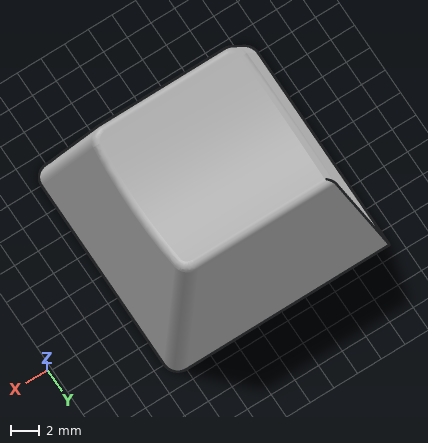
import cadquery as cq
import math

base_side = 18.3
wall_lean = 14.0
blank_height = 12.81
dish_floor = 10.4
dish_radius = 20.5
corner_radius = 1.2
rim_radius = 0.6


def tapered_blank():
    """Truncated square pyramid standing on the XY plane."""
    return cq.Workplane("XY").rect(base_side, base_side).extrude(blank_height, taper=wall_lean)


def round_corners(body):
    """Round the slanted corner edges, leaving the one at -X, +Y sharp."""
    inset = blank_height / 2 * math.tan(math.radians(wall_lean))
    reach = base_side / 2 - inset
    rounded_corners = [(-1, -1), (1, -1), (1, 1)]
    for x_side, y_side in rounded_corners:
        corner = (x_side * reach, y_side * reach, blank_height / 2)
        nearest_edge = cq.selectors.NearestToPointSelector(corner)
        body = body.edges(nearest_edge).fillet(corner_radius)
    return body


def dish_cutter():
    """Cylinder along X whose lower side forms the concave top."""
    return (
        cq.Workplane("YZ")
        .center(0, dish_floor + dish_radius)
        .circle(dish_radius)
        .extrude(base_side / 2, both=True)
    )


def round_rim(body):
    """Round the edge where the dish, the highest face, meets the walls."""
    return body.faces(">Z").edges().fillet(rim_radius)


body = round_corners(tapered_blank()).cut(dish_cutter())
result = round_rim(body)